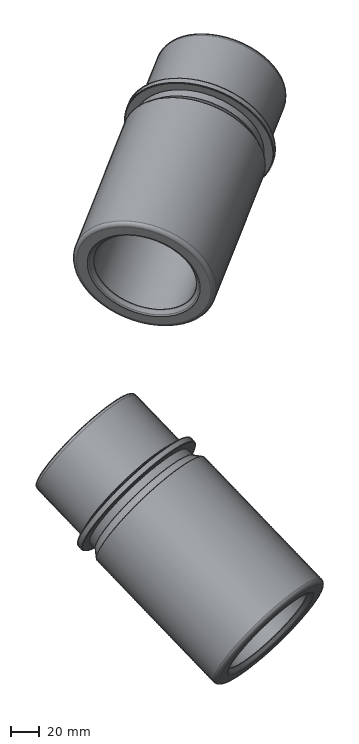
import cadquery as cq
import math

length = 190.0
front_y = -length / 2
rear_y = length / 2

body_diameter = 104.0
collar_diameter = 109.0
spigot_diameter = 95.0

collar_distance = 50.0
collar_width = 5.0
neck_end_distance = 61.0
shoulder_length = 6.0

body_fillet = 3.0
collar_chamfer = 0.5
lead_in_length = 2.0
lead_in_angle = 15.0
groove_width = 1.0
groove_depth = 0.5
groove_run_out = 1.0

bore_diameter = 75.0
mouth_diameter = 82.5
mouth_throat_diameter = 80.0
mouth_chamfer_depth = 0.75
mouth_taper_depth = 2.5
bore_edge_break = 0.25

body_radius = body_diameter / 2
collar_radius = collar_diameter / 2
spigot_radius = spigot_diameter / 2
bore_radius = bore_diameter / 2
collar_rear_y = rear_y - collar_distance
collar_front_y = collar_rear_y - collar_width
neck_y = rear_y - neck_end_distance


def turned(profile):
    """Revolve a closed (radius, y) profile about the Y axis."""
    return profile.close().revolve(360, (0, 0, 0), (0, 1, 0))


def make_body():
    """Body with a rounded front edge, and the conical shoulder down to the neck."""
    shoulder_y = neck_y - shoulder_length
    arc_offset = body_fillet * (1 - math.sqrt(0.5))
    return turned(
        cq.Workplane("XY")
        .moveTo(0, front_y)
        .lineTo(body_radius - body_fillet, front_y)
        .threePointArc(
            (body_radius - arc_offset, front_y + arc_offset),
            (body_radius, front_y + body_fillet),
        )
        .lineTo(body_radius, shoulder_y)
        .lineTo(spigot_radius, neck_y)
        .lineTo(0, neck_y)
    )


def make_spigot():
    """Neck and spigot in one cylinder, with a lead-in and a relief groove behind the collar."""
    groove_y = collar_rear_y + groove_width
    groove_radius = spigot_radius - groove_depth
    lead_in_drop = lead_in_length * math.tan(math.radians(lead_in_angle))
    return turned(
        cq.Workplane("XY")
        .moveTo(0, neck_y)
        .lineTo(spigot_radius, neck_y)
        .lineTo(spigot_radius, collar_rear_y)
        .lineTo(groove_radius, collar_rear_y)
        .lineTo(groove_radius, groove_y)
        .lineTo(spigot_radius, groove_y + groove_run_out)
        .lineTo(spigot_radius, rear_y - lead_in_length)
        .lineTo(spigot_radius - lead_in_drop, rear_y)
        .lineTo(0, rear_y)
    )


def make_collar():
    """Thin flange with both outer edges chamfered."""
    disc = turned(
        cq.Workplane("XY")
        .moveTo(0, collar_front_y)
        .lineTo(collar_radius, collar_front_y)
        .lineTo(collar_radius, collar_rear_y)
        .lineTo(0, collar_rear_y)
    )
    return disc.edges("%CIRCLE").chamfer(collar_chamfer)


def make_bore():
    """Through bore with a chamfered, tapered mouth at the front and a small break into the bore."""
    throat_y = front_y + mouth_chamfer_depth
    taper_end_y = throat_y + mouth_taper_depth
    return turned(
        cq.Workplane("XY")
        .moveTo(0, front_y)
        .lineTo(mouth_diameter / 2, front_y)
        .lineTo(mouth_throat_diameter / 2, throat_y)
        .lineTo(bore_radius + bore_edge_break, taper_end_y)
        .lineTo(bore_radius, taper_end_y + bore_edge_break)
        .lineTo(bore_radius, rear_y)
        .lineTo(0, rear_y)
    )


result = make_body().union(make_spigot()).union(make_collar()).cut(make_bore())